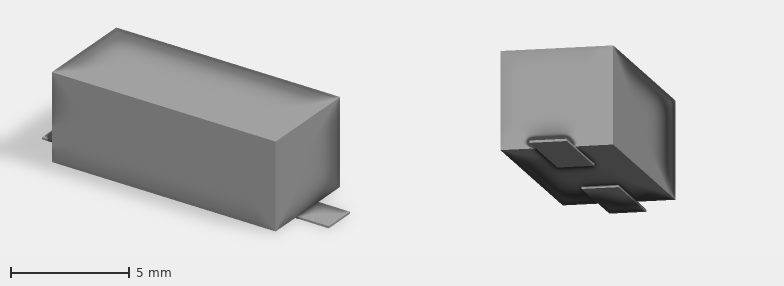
import cadquery as cq

overall_length = 14.6
overall_height = 4.4

terminal_length = 5.1
terminal_width = 1.6
terminal_thickness = 0.1

housing_length = 11.4
housing_width = 4.9
housing_height = overall_height - terminal_thickness


def make_housing():
    """Block centred on the origin, with its underside at Z = 0."""
    return cq.Workplane("XY").box(
        housing_length, housing_width, housing_height, centered=(True, True, False)
    )


def make_terminal(side):
    """Strip below the housing; side is -1 for the -X end and +1 for the +X end."""
    center_x = side * (overall_length - terminal_length) / 2
    return (
        cq.Workplane("XY")
        .box(terminal_length, terminal_width, terminal_thickness, centered=(True, True, False))
        .translate((center_x, 0, -terminal_thickness))
    )


housing = make_housing()
terminals = [make_terminal(side) for side in (-1, 1)]

result = cq.Compound.makeCompound(
    [housing.val(), *(terminal.val() for terminal in terminals)]
)